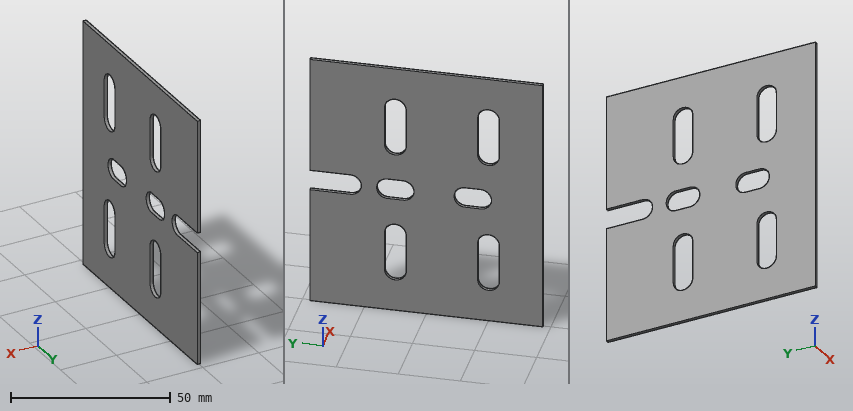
import cadquery as cq

thickness = 1.2
width = 75.0
height = 87.0

slot_width = 7.0
tall_slot_length = 20.0
short_slot_length = 12.0
inner_column_y = 10.0
outer_column_y = -2 * inner_column_y
tall_slot_z = 22.5
short_slot_ys = (inner_column_y, -15.0)

notch_depth = 16.5


def slot_cutter(y, z, length, angle):
    """Slot through the plate; angle 0 runs along Y, 90 along Z."""
    return (
        cq.Workplane("YZ")
        .center(y, z)
        .slot2D(length, slot_width, angle)
        .extrude(thickness, both=True)
    )


plate = cq.Workplane("YZ").rect(width, height).extrude(thickness / 2, both=True)

for column_y in (inner_column_y, outer_column_y):
    for row_z in (-tall_slot_z, tall_slot_z):
        plate = plate.cut(slot_cutter(column_y, row_z, tall_slot_length, 90))

for short_slot_y in short_slot_ys:
    plate = plate.cut(slot_cutter(short_slot_y, 0, short_slot_length, 0))

plate = plate.cut(slot_cutter(width / 2, 0, 2 * notch_depth, 0))

result = plate